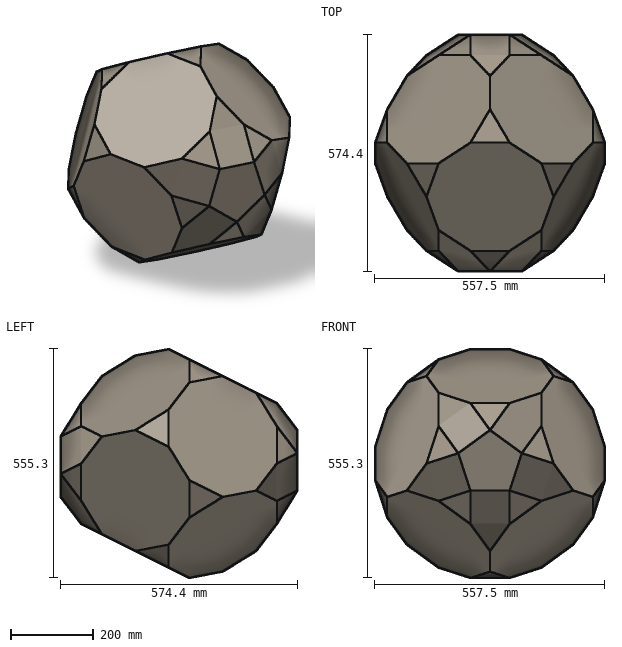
import cadquery as cq
import math


edge_length = 95.233

pentagon_apothem = edge_length / (2 * math.tan(math.pi / 5))
decagon_apothem = edge_length / (2 * math.tan(math.pi / 10))
decagon_radius = edge_length / (2 * math.sin(math.pi / 10))
triangle_radius = edge_length / math.sqrt(3)
triangle_height = edge_length * math.sqrt(3) / 2

vertex_distance = edge_length / 4 * math.sqrt(74 + 30 * math.sqrt(5))
decagon_distance = math.sqrt(vertex_distance**2 - decagon_radius**2)
triangle_distance = math.sqrt(vertex_distance**2 - triangle_radius**2)

decagon_tilt = math.acos(1 / math.sqrt(5))
near_triangle_tilt = math.acos(math.sqrt((5 + 2 * math.sqrt(5)) / 15))
far_triangle_tilt = math.acos(math.sqrt((5 - 2 * math.sqrt(5)) / 15))

cupola_height = math.sqrt(edge_length**2 - (decagon_apothem - pentagon_apothem) ** 2)
cupola_square_tilt = math.asin(cupola_height / edge_length)
cupola_triangle_tilt = math.asin(cupola_height / triangle_height)
cap_distance = decagon_distance + cupola_height

up = math.pi / 2
down = -math.pi / 2
ring_count = 5

block_size = 2.5 * cap_distance
cutter_width = 2 * block_size


def cupola_side_distance(tilt):
    """Distance from the centre to a cupola side plane, which holds a decagon edge."""
    return decagon_apothem * math.sin(tilt) + decagon_distance * math.cos(tilt)


def face_normal(tilt, turn):
    """Unit vector tilted away from -Y and turned about the Y axis."""
    return cq.Vector(
        math.sin(tilt) * math.cos(turn),
        -math.cos(tilt),
        math.sin(tilt) * math.sin(turn),
    )


def cut_face_pair(body, normal, distance):
    """Cut two opposite flat faces at the given distance from the centre."""
    for outward in (normal, -normal):
        face_plane = cq.Plane(origin=outward * distance, normal=outward)
        cutter = cq.Workplane(face_plane).rect(cutter_width, cutter_width).extrude(block_size)
        body = body.cut(cutter)
    return body


def cut_face_ring(body, tilt, first_turn, distance):
    """Cut a ring of five faces around -Y and the opposite ring around +Y."""
    for index in range(ring_count):
        turn = first_turn + index * 2 * math.pi / ring_count
        body = cut_face_pair(body, face_normal(tilt, turn), distance)
    return body


result = cq.Workplane("XY").box(block_size, block_size, block_size)

result = cut_face_ring(result, decagon_tilt, up, decagon_distance)
result = cut_face_ring(result, near_triangle_tilt, down, triangle_distance)
result = cut_face_ring(result, far_triangle_tilt, down, triangle_distance)

result = cut_face_pair(result, cq.Vector(0, -1, 0), cap_distance)
result = cut_face_ring(result, cupola_square_tilt, down, cupola_side_distance(cupola_square_tilt))
result = cut_face_ring(result, cupola_triangle_tilt, up, cupola_side_distance(cupola_triangle_tilt))